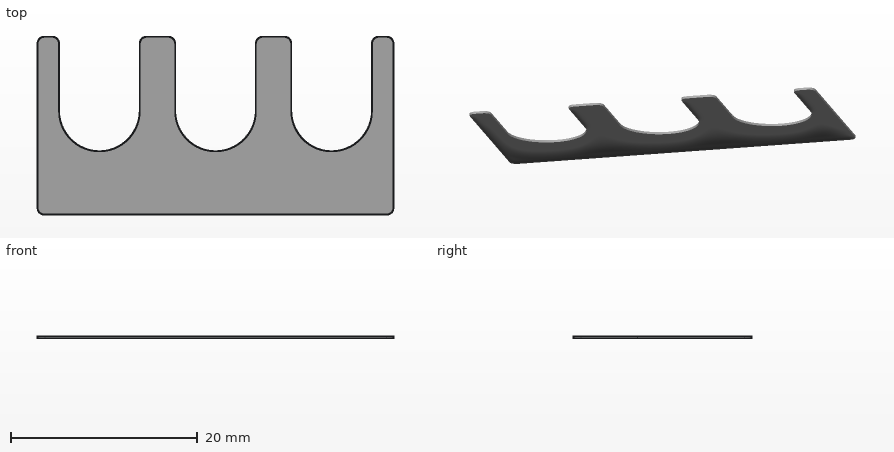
import cadquery as cq

length = 38.1
depth = 19.05
thickness = 0.25
corner_radius = 0.76

slot_count = 3
slot_width = 8.6
slot_pitch = 12.42
slot_floor = 6.8

slot_radius = slot_width / 2
slot_center_y = -depth / 2 + slot_floor + slot_radius
open_edge_y = depth / 2


def make_plate():
    """Flat rectangular sheet centred on the origin."""
    return cq.Workplane("XY").box(length, depth, thickness)


def make_slot(center_x):
    """Round-bottomed slot that opens through the +Y edge."""
    left = center_x - slot_radius
    right = center_x + slot_radius
    return (
        cq.Workplane("XY")
        .moveTo(left, open_edge_y)
        .lineTo(left, slot_center_y)
        .threePointArc((center_x, slot_center_y - slot_radius), (right, slot_center_y))
        .lineTo(right, open_edge_y)
        .close()
        .extrude(thickness, both=True)
    )


def cut_slots(plate):
    """Cut the evenly spaced row of slots, symmetric about X = 0."""
    for index in range(slot_count):
        center_x = (index - (slot_count - 1) / 2) * slot_pitch
        plate = plate.cut(make_slot(center_x))
    return plate


def round_corners(plate):
    """Round the two back corners and every finger-tip corner."""
    back_corners = plate.edges("|Z and <Y")
    finger_corners = plate.edges("|Z and >Y")
    return plate.newObject(back_corners.vals() + finger_corners.vals()).fillet(corner_radius)


result = round_corners(cut_slots(make_plate()))